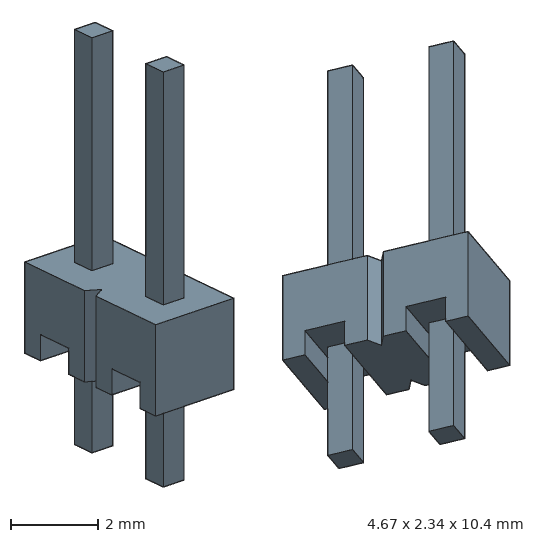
import cadquery as cq

pin_pitch = 2.54
pin_side = 0.63
pin_length = 10.42
tail_length = 2.28

block_length = 4.67
block_width = 2.34
block_height = 2.29

slot_width = 1.0
slot_height = 0.66
notch_width = 0.41
notch_depth = 0.34

pin_centers = [(-pin_pitch / 2, 0), (pin_pitch / 2, 0)]


def make_block():
    """Insulator with its underside at the top of the pin tails."""
    return (
        cq.Workplane("XY", origin=(0, 0, tail_length))
        .rect(block_length, block_width)
        .extrude(block_height)
    )


def make_slots():
    """Channels across the underside, one around each pin."""
    return (
        cq.Workplane("XY", origin=(0, 0, tail_length))
        .pushPoints(pin_centers)
        .rect(slot_width, block_width)
        .extrude(slot_height)
    )


def make_notch(side):
    """Vertical V-groove midway between the pins; side is -1 or 1 along Y."""
    face_y = side * block_width / 2
    tip_y = face_y - side * notch_depth
    return (
        cq.Workplane("XY", origin=(0, 0, tail_length))
        .polyline([(-notch_width / 2, face_y), (0, tip_y), (notch_width / 2, face_y)])
        .close()
        .extrude(block_height)
    )


def make_pins():
    """Square pins running through the block."""
    return cq.Workplane("XY").pushPoints(pin_centers).rect(pin_side, pin_side).extrude(pin_length)


block = make_block().cut(make_slots())
for side in (-1, 1):
    block = block.cut(make_notch(side))

result = block.union(make_pins())